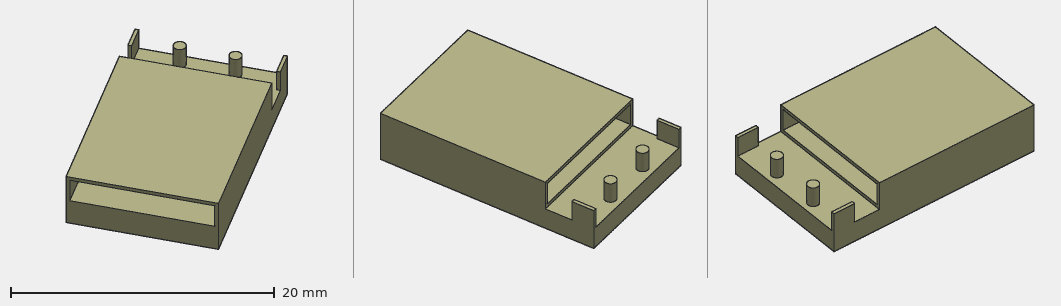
import cadquery as cq

width = 12.0
length = 19.4
height = 4.5

wall = 0.3
sleeve_length = 15.0
base_height = 2.2

ledge_length = length - sleeve_length
ledge_height = 1.9
post_height = 3.7

tab_length = 2.0

pin_diameter = 1.0
pin_spacing = 4.4
pin_rear_inset = 1.0

rear_y = length / 2
front_y = -length / 2
sleeve_rear_y = front_y + sleeve_length


def block(x_min, y_min, z_min, x_size, y_size, z_size):
    """Box placed by its lowest corner."""
    return cq.Workplane("XY").box(x_size, y_size, z_size, centered=False).translate((x_min, y_min, z_min))


def make_sleeve():
    """Solid base with a flat rectangular slot running through above it."""
    body = block(-width / 2, front_y, 0, width, sleeve_length, height)
    slot = block(
        -width / 2 + wall, front_y, base_height,
        width - 2 * wall, sleeve_length, height - wall - base_height,
    )
    return body.cut(slot)


def make_ledge():
    return block(-width / 2, sleeve_rear_y, 0, width, ledge_length, ledge_height)


def make_tab(x_min):
    """Thin upright tab flush with one side and the rear."""
    return block(x_min, rear_y - tab_length, 0, wall, tab_length, post_height)


def make_pin(x):
    return (
        cq.Workplane("XY")
        .center(x, rear_y - pin_rear_inset)
        .circle(pin_diameter / 2)
        .extrude(post_height)
    )


result = make_sleeve().union(make_ledge())
for tab_x in (-width / 2, width / 2 - wall):
    result = result.union(make_tab(tab_x))
for side in (-1, 1):
    result = result.union(make_pin(side * pin_spacing / 2))